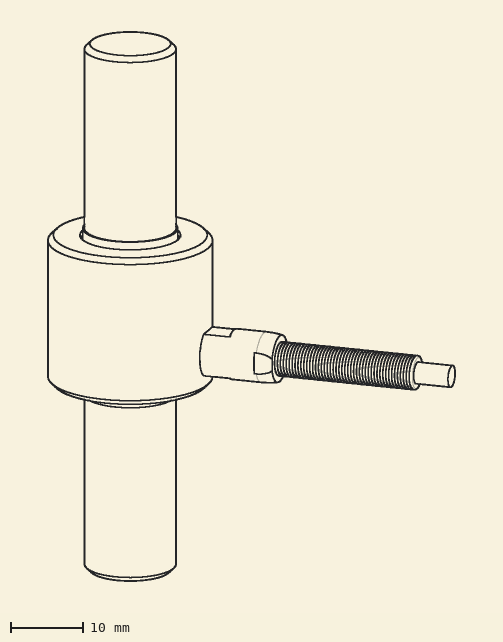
import cadquery as cq
import math

TOTAL_HEIGHT = 76.2
STUD_RADIUS = 12.7 / 2
STUD_CHAMFER = 0.8

HOUSING_RADIUS = 22.85 / 2
HOUSING_BOTTOM = 27.2
HOUSING_TOP = 48.5
HOUSING_CHAMFER = 0.8

COLLAR_RADIUS = 13.2 / 2
COLLAR_TOP = 49.45
GROOVE_RADIUS = 13.95 / 2
GROOVE_DEPTH = 0.8

CONE_BOTTOM = 25.4
CONE_TOP = 26.5
CONE_TOP_RADIUS = 5.4

CABLE_AXIS_Z = 32.8
CABLE_END_X = 47.2
CABLE_RADIUS = 3.05 / 2

GLAND_RADIUS = 7.1 / 2
GLAND_START_X = HOUSING_RADIUS
NOSE_START_X = 19.6
NOSE_END_X = 21.95
NOSE_END_RADIUS = 6.6 / 2

SPIGOT_RADIUS = 5.3 / 2
SPIGOT_START_X = 10.7

WRENCH_FLAT_WIDTH = 6.0
WRENCH_FLAT_END_X = 15.25
NOSE_FLAT_WIDTH = 6.4
NOSE_FLAT_START_X = 19.35

SLEEVE_END_X = 42.15
SLEEVE_RADIUS = 4.8 / 2
RIB_COUNT = 47


def make_load_cell():
    """Both studs and the housing, turned about Z, with the gland's seat bored in the side."""
    cone_angle = math.atan2(STUD_RADIUS - CONE_TOP_RADIUS, CONE_TOP - CONE_BOTTOM)
    arc_radius = (HOUSING_BOTTOM - CONE_TOP) / math.sin(cone_angle)
    neck_radius = CONE_TOP_RADIUS - arc_radius * (1 - math.cos(cone_angle))
    arc_middle = (
        neck_radius + arc_radius * (1 - math.cos(cone_angle / 2)),
        HOUSING_BOTTOM - arc_radius * math.sin(cone_angle / 2),
    )
    turned = (
        cq.Workplane("XZ")
        .moveTo(0, 0)
        .lineTo(STUD_RADIUS - STUD_CHAMFER, 0)
        .lineTo(STUD_RADIUS, STUD_CHAMFER)
        .lineTo(STUD_RADIUS, CONE_BOTTOM)
        .lineTo(CONE_TOP_RADIUS, CONE_TOP)
        .threePointArc(arc_middle, (neck_radius, HOUSING_BOTTOM))
        .lineTo(HOUSING_RADIUS - HOUSING_CHAMFER, HOUSING_BOTTOM)
        .lineTo(HOUSING_RADIUS, HOUSING_BOTTOM + HOUSING_CHAMFER)
        .lineTo(HOUSING_RADIUS, HOUSING_TOP - HOUSING_CHAMFER)
        .lineTo(HOUSING_RADIUS - HOUSING_CHAMFER, HOUSING_TOP)
        .lineTo(GROOVE_RADIUS, HOUSING_TOP)
        .lineTo(GROOVE_RADIUS, HOUSING_TOP - GROOVE_DEPTH)
        .lineTo(COLLAR_RADIUS, HOUSING_TOP - GROOVE_DEPTH)
        .lineTo(COLLAR_RADIUS, COLLAR_TOP)
        .lineTo(STUD_RADIUS, COLLAR_TOP)
        .lineTo(STUD_RADIUS, TOTAL_HEIGHT - STUD_CHAMFER)
        .lineTo(STUD_RADIUS - STUD_CHAMFER, TOTAL_HEIGHT)
        .lineTo(0, TOTAL_HEIGHT)
        .close()
        .revolve(360, (0, 0, 0), (0, 1, 0))
    )
    return turned.cut(x_cylinder(SPIGOT_RADIUS, SPIGOT_START_X, GLAND_START_X))


def x_cylinder(radius, start_x, end_x):
    """Cylinder on the cable axis between two X positions."""
    return (
        cq.Workplane("YZ", origin=(start_x, 0, CABLE_AXIS_Z))
        .circle(radius)
        .extrude(end_x - start_x)
    )


def x_slab(start_x, end_x, width_y, width_z):
    """Box centred on the cable axis between two X positions."""
    return (
        cq.Workplane("YZ", origin=(start_x, 0, CABLE_AXIS_Z))
        .rect(width_y, width_z)
        .extrude(end_x - start_x)
    )


def make_gland():
    """Gland with a spigot, a rounded nose and two pairs of flats."""
    nose_length = NOSE_END_X - NOSE_START_X
    nose_drop = GLAND_RADIUS - NOSE_END_RADIUS
    arc_radius = (nose_length**2 + nose_drop**2) / (2 * nose_drop)
    half_angle = math.asin(nose_length / arc_radius) / 2
    arc_middle = (
        NOSE_START_X + arc_radius * math.sin(half_angle),
        GLAND_RADIUS - arc_radius * (1 - math.cos(half_angle)),
    )
    turned = (
        cq.Workplane("XZ", origin=(0, 0, CABLE_AXIS_Z))
        .moveTo(SPIGOT_START_X, 0)
        .lineTo(SPIGOT_START_X, SPIGOT_RADIUS)
        .lineTo(GLAND_START_X, SPIGOT_RADIUS)
        .lineTo(GLAND_START_X, GLAND_RADIUS)
        .lineTo(NOSE_START_X, GLAND_RADIUS)
        .threePointArc(arc_middle, (NOSE_END_X, NOSE_END_RADIUS))
        .lineTo(NOSE_END_X, 0)
        .close()
        .revolve(360, (0, 0, 0), (1, 0, 0))
    )
    gland_width = 2 * GLAND_RADIUS
    wrench_end = x_slab(SPIGOT_START_X, WRENCH_FLAT_END_X, gland_width, WRENCH_FLAT_WIDTH)
    plain_middle = x_slab(WRENCH_FLAT_END_X, NOSE_FLAT_START_X, gland_width, gland_width)
    nose_end = x_slab(NOSE_FLAT_START_X, NOSE_END_X, NOSE_FLAT_WIDTH, gland_width)
    return turned.intersect(wrench_end.union(plain_middle).union(nose_end))


def make_sleeve():
    """Sleeve with evenly spaced half-round ribs, solid down to the cable axis."""
    pitch = (SLEEVE_END_X - NOSE_END_X) / RIB_COUNT
    root_radius = SLEEVE_RADIUS - pitch / 2
    profile = (
        cq.Workplane("XZ", origin=(0, 0, CABLE_AXIS_Z))
        .moveTo(NOSE_END_X, 0)
        .lineTo(NOSE_END_X, root_radius)
    )
    for rib in range(RIB_COUNT):
        rib_start = NOSE_END_X + rib * pitch
        crest = (rib_start + pitch / 2, SLEEVE_RADIUS)
        profile = profile.threePointArc(crest, (rib_start + pitch, root_radius))
    return profile.lineTo(SLEEVE_END_X, 0).close().revolve(360, (0, 0, 0), (1, 0, 0))


def make_cable_unit():
    """Gland, sleeve and cable end as one solid."""
    cable = x_cylinder(CABLE_RADIUS, NOSE_END_X, CABLE_END_X)
    return make_gland().union(make_sleeve()).union(cable)


load_cell = make_load_cell()
cable_unit = make_cable_unit()

result = cq.Compound.makeCompound([load_cell.val(), cable_unit.val()])